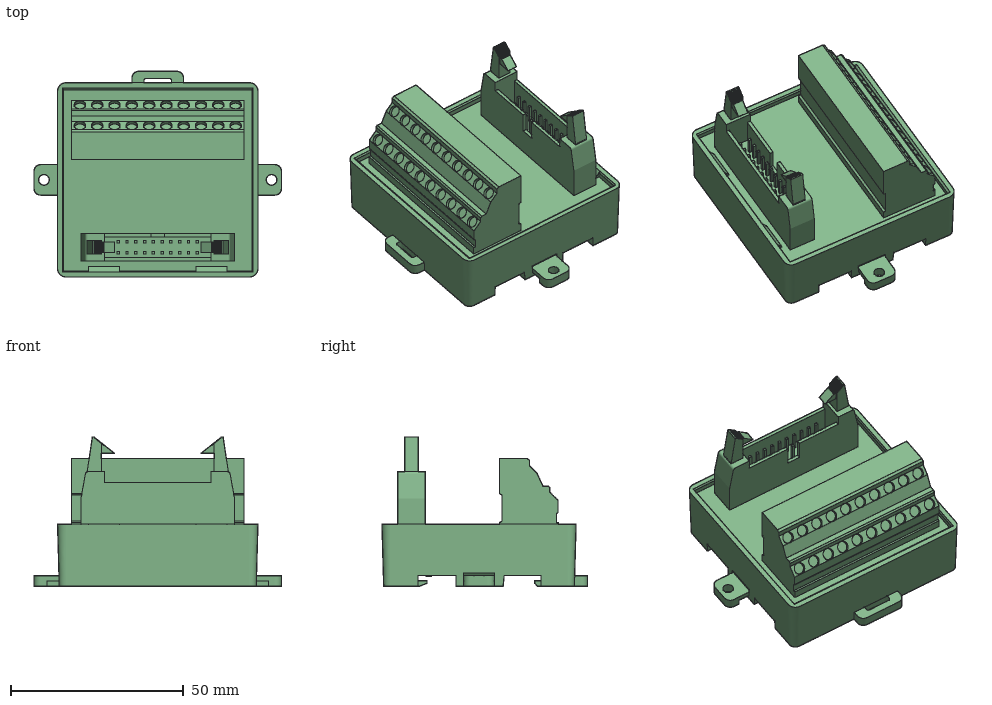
import cadquery as cq

base_length = 58.0
base_width = 56.2
base_height = 18.0
base_corner_radius = 2.5
wall_draft_angle = 1.6
rim_width = 1.5
floor_z = 16.0
rim_bevel_drop = 0.55
rim_bevel_run = 0.3
back_bevel_run = 0.6
tray_depth = base_height - floor_z

ramp_length = 9.0
ramp_center_x = 15.5
ramp_depth = 1.6

channel_height = 3.1
back_channel_y = 17.9
back_channel_root_y = 7.3
back_channel_foot_y = 7.0
front_channel_y = -17.6
front_channel_root_y = -6.7

hook_width = 15.0
hook_top_z = 1.65
hook_nose_z = 0.9
back_hook_tip_y = 16.1
back_hook_heel_y = 16.9
front_hook_tip_y = -15.0
front_hook_heel_y = -17.3
rib_y = -14.5
rib_width = 1.6
rib_height = 0.25

overall_length = 71.6
overall_width = 59.51
plate_thickness = 3.1
ear_width = 8.9
ear_corner_radius = 2.0
ear_hole_diameter = 3.0
ear_hole_x = 32.9
ear_relief_x = 32.0
ear_relief_height = 1.6
ear_relief_depth = 1.2
ear_groove_height = 0.75
ear_groove_depth = 1.2
tab_width = 15.0
tab_corner_radius = 2.0
tab_end_y = overall_width - base_width / 2
tab_slot_length = 7.9
tab_slot_start_y = 27.0
tab_slot_end_y = 29.3
tab_slot_radius = 0.6

terminal_length = 50.0
terminal_top_z = 37.0
terminal_count = 10
terminal_pitch = 5.0
screw_hole_diameter = 3.3
screw_hole_depth = 1.0
foot_top_z = 18.45
waist_front_y = 6.6
waist_top_z = 26.4
waist_slope = 0.4
lower_slope_bottom = (22.9, 24.8)
lower_slope_top = (20.5, 27.2)
upper_slope_bottom = (16.8, 32.7)
upper_slope_top = (14.6, 34.9)
top_bevel_run = 0.7
top_bevel_drop = 0.5
step_root_y = 18.5
step_z = 29.0
step_bevel = 0.45
waist_back_y = 22.4
waist_back_z = 21.0
foot_front_y = 5.9
foot_back_y = 23.0

connector_y = -19.5
connector_length = 44.4
connector_width = 8.0
shoulder_z = 25.4
connector_top_z = 33.2
connector_top_length = 41.6
connector_edge_radius = 0.9
side_wall_z = 30.1
socket_length = 30.8
socket_width = 5.95
socket_floor_z = 22.0
key_slot_width = 4.0
key_slot_floor_z = 24.0

pin_columns = 10
pin_pitch = 2.54
pin_row_offset = 1.6
pin_size = 0.7
pin_top_z = 27.4

latch_width = 4.0
latch_wedge_width = 3.1
latch_outer_x = 20.4
latch_tip_outer_x = 18.93
latch_tip_inner_x = 18.45
latch_inner_x = 16.3
latch_wedge_x = 12.45
latch_wedge_z = 38.45
latch_top_z = 43.25
grip_pitch = 0.5
grip_groove = 0.2
grip_depth = 0.12
grip_rows = 7
grip_columns = 7
grip_start = 0.3


def box_between(x0, x1, y0, y1, z0, z1):
    return cq.Workplane("XY").box(x1 - x0, y1 - y0, z1 - z0, centered=False).translate((x0, y0, z0))


def extrude_along_x(points, length, center_x=0.0):
    """Extrude a closed (Y, Z) outline symmetrically about center_x."""
    outline = cq.Workplane("YZ", origin=(center_x, 0, 0)).polyline(points).close()
    return outline.extrude(length / 2, both=True)


def make_tray():
    body = (
        cq.Workplane("XY", origin=(0, 0, base_height))
        .sketch()
        .rect(base_length, base_width)
        .vertices()
        .fillet(base_corner_radius)
        .finalize()
        .extrude(-base_height, taper=wall_draft_angle)
    )
    rim_x = base_length / 2 - rim_width
    rim_y = base_width / 2 - rim_width
    floor_length = 2 * (rim_x - rim_bevel_run)
    floor_width = 2 * rim_y - rim_bevel_run - back_bevel_run
    floor_center_y = (rim_bevel_run - back_bevel_run) / 2
    bevel = (
        cq.Workplane("XY", origin=(0, 0, base_height))
        .rect(2 * rim_x, 2 * rim_y)
        .workplane(offset=-rim_bevel_drop)
        .center(0, floor_center_y)
        .rect(floor_length, floor_width)
        .loft(ruled=True)
    )
    pocket = (
        cq.Workplane("XY", origin=(0, floor_center_y, floor_z))
        .rect(floor_length, floor_width)
        .extrude(tray_depth - rim_bevel_drop)
    )
    return body.cut(bevel).cut(pocket)


def make_snap_ramp(center_x):
    wall_y = -base_width / 2 + rim_width
    outer_y = wall_y - rim_bevel_run
    outline = [
        (outer_y, floor_z),
        (wall_y + ramp_depth, floor_z),
        (wall_y, base_height),
        (outer_y, base_height),
    ]
    return extrude_along_x(outline, ramp_length, center_x)


def make_channels():
    back_channel = [
        (back_channel_y, 0),
        (back_channel_y, channel_height),
        (back_channel_root_y, channel_height),
        (back_channel_foot_y, 0),
    ]
    front_channel = [
        (front_channel_y, 0),
        (front_channel_y, channel_height),
        (front_channel_root_y, channel_height),
        (front_channel_root_y, 0),
    ]
    return extrude_along_x(back_channel, base_length).union(extrude_along_x(front_channel, base_length))


def make_hook(wall_y, heel_y, tip_y):
    outline = [
        (wall_y, 0),
        (heel_y, 0),
        (tip_y, hook_nose_z),
        (tip_y, hook_top_z),
        (wall_y, hook_top_z),
    ]
    return extrude_along_x(outline, hook_width)


def make_channel_rib():
    return box_between(
        -hook_width / 2,
        hook_width / 2,
        rib_y - rib_width / 2,
        rib_y + rib_width / 2,
        channel_height - rib_height,
        channel_height,
    )


def make_ears():
    plate = (
        cq.Workplane("XY")
        .rect(overall_length, ear_width)
        .extrude(plate_thickness)
        .edges("|Z")
        .fillet(ear_corner_radius)
    )
    holes = (
        cq.Workplane("XY")
        .pushPoints([(-ear_hole_x, 0), (ear_hole_x, 0)])
        .circle(ear_hole_diameter / 2)
        .extrude(plate_thickness)
    )
    plate = plate.cut(holes)
    for side_y in (-ear_width / 2, ear_width / 2):
        relief = cq.Workplane("XY").center(0, side_y).rect(2 * ear_relief_x, 2 * ear_relief_depth)
        plate = plate.cut(relief.extrude(ear_relief_height))
    return plate


def make_ear_groove(side):
    """Sloping undercut in the side wall just above an ear."""
    wall_x = side * base_length / 2
    outline = [
        (wall_x, plate_thickness),
        (wall_x, plate_thickness + ear_groove_height),
        (wall_x - side * (ear_groove_depth / 2), plate_thickness + ear_groove_height),
        (wall_x - side * ear_groove_depth, plate_thickness),
    ]
    return cq.Workplane("XZ").polyline(outline).close().extrude(ear_width / 2, both=True)


def make_tab():
    plate = box_between(-tab_width / 2, tab_width / 2, back_channel_y, tab_end_y, 0, plate_thickness)
    return plate.edges("|Z and >Y").fillet(tab_corner_radius)


def make_tab_slot():
    half = tab_slot_length / 2
    slot = box_between(-half, half, tab_slot_start_y, tab_slot_end_y, 0, plate_thickness)
    return slot.edges("|Z").fillet(tab_slot_radius)


base = make_tray()
for side in (-1, 1):
    base = base.union(make_snap_ramp(side * ramp_center_x)).cut(make_ear_groove(side))
base = base.cut(make_channels()).union(make_ears()).union(make_tab()).cut(make_tab_slot())
base = base.union(make_hook(back_channel_y, back_hook_heel_y, back_hook_tip_y))
base = base.union(make_hook(front_channel_y, front_hook_heel_y, front_hook_tip_y))
base = base.union(make_channel_rib())


def make_terminal_body():
    outline = [
        (foot_front_y, floor_z),
        (foot_front_y, foot_top_z),
        (waist_front_y, foot_top_z + waist_slope),
        (waist_front_y, waist_top_z),
        (foot_front_y, waist_top_z + waist_slope),
        (foot_front_y, terminal_top_z),
        (upper_slope_top[0] - top_bevel_run, terminal_top_z),
        (upper_slope_top[0], terminal_top_z - top_bevel_drop),
        upper_slope_top,
        upper_slope_bottom,
        (step_root_y, step_z),
        (lower_slope_top[0] - step_bevel, step_z),
        (lower_slope_top[0], step_z - step_bevel),
        lower_slope_top,
        lower_slope_bottom,
        (lower_slope_bottom[0], waist_back_z + waist_slope),
        (waist_back_y, waist_back_z),
        (waist_back_y, foot_top_z),
        (foot_back_y, foot_top_z),
        (foot_back_y, floor_z),
    ]
    return extrude_along_x(outline, terminal_length)


def make_screw_holes(slope_bottom, slope_top):
    """Row of shallow round recesses square to a sloping face."""
    (y0, z0), (y1, z1) = slope_bottom, slope_top
    face = cq.Plane(
        origin=(0, (y0 + y1) / 2, (z0 + z1) / 2),
        xDir=(1, 0, 0),
        normal=(0, z1 - z0, y0 - y1),
    )
    return (
        cq.Workplane(face)
        .rarray(terminal_pitch, 1, terminal_count, 1)
        .circle(screw_hole_diameter / 2)
        .extrude(-screw_hole_depth)
    )


terminal_block = make_terminal_body()
for slope in ((lower_slope_bottom, lower_slope_top), (upper_slope_bottom, upper_slope_top)):
    terminal_block = terminal_block.cut(make_screw_holes(*slope))


def make_connector_housing():
    half = connector_length / 2
    half_top = connector_top_length / 2
    shell = (
        cq.Workplane("XZ", origin=(0, connector_y, 0))
        .polyline(
            [
                (-half, floor_z),
                (half, floor_z),
                (half, shoulder_z),
                (half_top, connector_top_z),
                (-half_top, connector_top_z),
                (-half, shoulder_z),
            ]
        )
        .close()
        .extrude(connector_width / 2, both=True)
        .edges("|Y and >Z")
        .fillet(connector_edge_radius)
    )
    half_socket = socket_length / 2
    front_y = connector_y - connector_width / 2
    back_y = connector_y + connector_width / 2
    gap = box_between(-half_socket, half_socket, front_y, back_y, side_wall_z, connector_top_z)
    socket = box_between(
        -half_socket,
        half_socket,
        connector_y - socket_width / 2,
        connector_y + socket_width / 2,
        socket_floor_z,
        connector_top_z,
    )
    key_slot = box_between(
        -key_slot_width / 2, key_slot_width / 2, connector_y, back_y, key_slot_floor_z, connector_top_z
    )
    return shell.cut(gap).cut(socket).cut(key_slot)


def make_pins():
    return (
        cq.Workplane("XY", origin=(0, connector_y, socket_floor_z))
        .rarray(pin_pitch, 2 * pin_row_offset, pin_columns, 2)
        .rect(pin_size, pin_size)
        .extrude(pin_top_z - socket_floor_z)
    )


def make_latch():
    """Latch of the -X end: a tapered post with a narrower hooked wedge and a grooved grip."""
    slope = (latch_top_z - latch_wedge_z) / (latch_tip_inner_x - latch_wedge_x)
    post_inner_z = latch_top_z - slope * (latch_tip_inner_x - latch_inner_x)
    workplane = cq.Workplane("XZ", origin=(0, connector_y, 0))
    post = (
        workplane.polyline(
            [
                (-latch_outer_x, connector_top_z),
                (-latch_tip_outer_x, latch_top_z),
                (-latch_tip_inner_x, latch_top_z),
                (-latch_inner_x, post_inner_z),
                (-latch_inner_x, connector_top_z),
            ]
        )
        .close()
        .extrude(latch_width / 2, both=True)
    )
    wedge = (
        workplane.polyline(
            [
                (-latch_inner_x, latch_wedge_z),
                (-latch_inner_x, post_inner_z),
                (-latch_wedge_x, latch_wedge_z),
            ]
        )
        .close()
        .extrude(latch_wedge_width / 2, both=True)
    )
    slope_plane = cq.Plane(
        origin=(-latch_tip_inner_x, connector_y, latch_top_z),
        xDir=(1, 0, -slope),
        normal=(slope, 0, 1),
    )
    grip_length = grip_rows * grip_pitch
    grip = cq.Workplane(slope_plane).center(grip_start + grip_length / 2, 0)
    cross_grooves = (
        grip.rarray(grip_pitch, 1, grip_rows, 1).rect(grip_groove, latch_width).extrude(-grip_depth)
    )
    long_grooves = (
        grip.rarray(1, grip_pitch, 1, grip_columns).rect(grip_length, grip_groove).extrude(-grip_depth)
    )
    return post.union(wedge).cut(cross_grooves).cut(long_grooves)


latch = make_latch()
connector = make_connector_housing().union(make_pins()).union(latch).union(latch.mirror("YZ"))

result = cq.Compound.makeCompound([base.val(), terminal_block.val(), connector.val()])